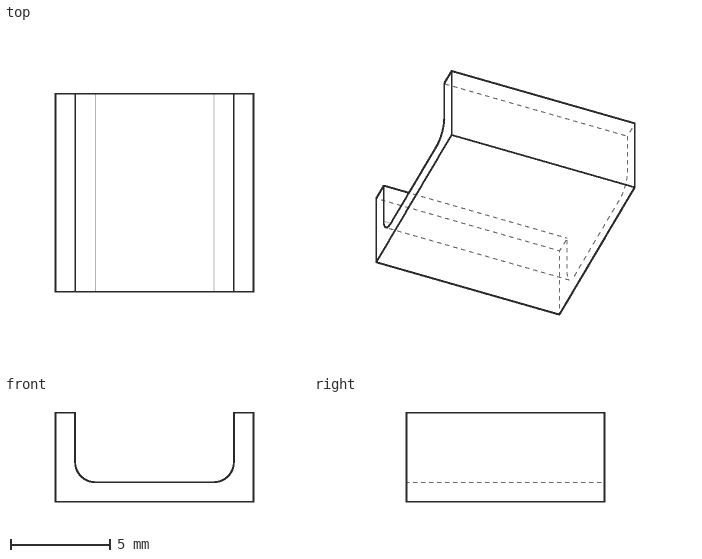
import cadquery as cq

width = 10.0
length = 10.0
height = 4.5

wall = 1.0
inner_radius = 1.0

block = cq.Workplane("XY").box(width, length, height, centered=(True, True, False))

channel = (
    cq.Workplane("XY")
    .workplane(offset=wall)
    .box(width - 2 * wall, length, height - wall, centered=(True, True, False))
    .edges("|Y and <Z")
    .fillet(inner_radius)
)

result = block.cut(channel)